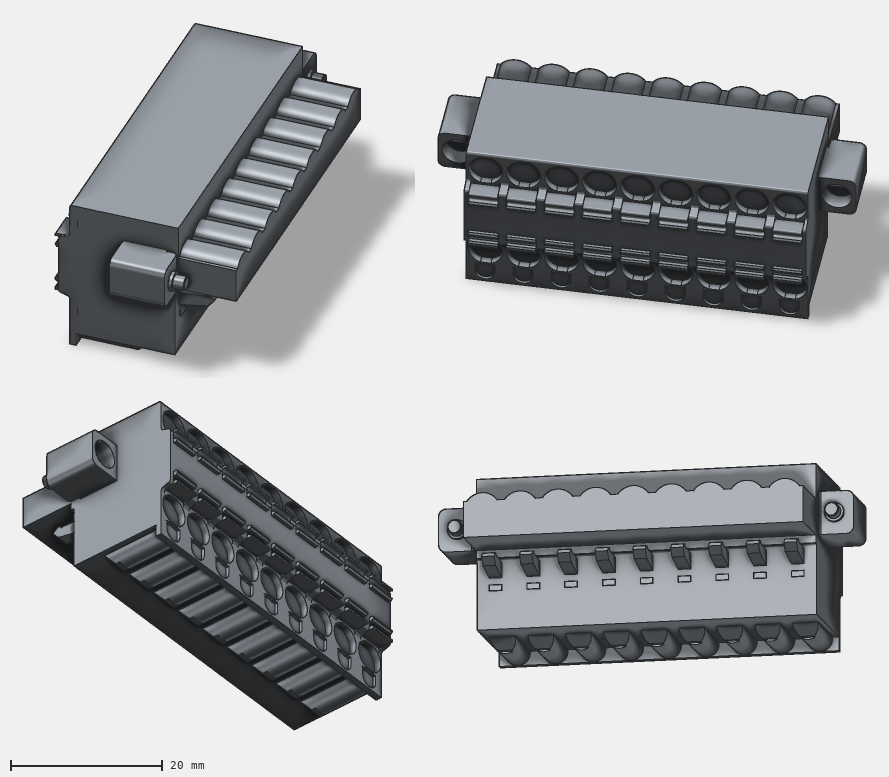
import cadquery as cq


POLES = 9
PITCH = 5.1
OVERALL_LENGTH = 55.9
BODY_LENGTH = 45.7
HALF_LENGTH = BODY_LENGTH / 2
POLE_POSITIONS = [(i - (POLES - 1) / 2) * PITCH for i in range(POLES)]

BODY_TOP = 22.1
BODY_BOTTOM = 1.85
UPPER_DEPTH = 15.3
LOWER_DEPTH = 14.8
BACK_STEP_Z = 11.4
BACK_STEP_FILLET = 0.3
LIP_THICKNESS = 0.9
TOP_FILLET = 0.4

BAND_Z = 12.35
BAND_HEIGHT = 1.55
BAND_HALF_ROOT = 4.85
BAND_HALF_CREST = 4.35
BAND_FILLET = 0.45

BUTTON_WIDTH = 3.9
BUTTON_HEIGHT = 2.25
BUTTON_OUTER = 4.45
BUTTON_INNER = 2.4
BUTTON_EDGE = 0.2
GROOVE_OUTER = 4.0
GROOVE_INNER = 2.95
GROOVE_FLOOR = 1.4
LOWER_GROOVE_OUTER = 3.9
LOWER_GROOVE_INNER = 3.1
LOWER_GROOVE_BEND_X = -1.55
LOWER_GROOVE_ROOT_X = -1.1
LOWER_GROOVE_BEND = 3.85
LOWER_GROOVE_ROOT = 3.25
POLE_SHIFT = -0.1

FUNNEL_RADIUS = 2.3
FUNNEL_HALF_HEIGHT = 2.2
FUNNEL_OFFSET_Z = 7.0
FUNNEL_DEPTH = 1.05
TEST_RADIUS = 1.35
TEST_CENTRE_Z = 1.7
TEST_TOP = 2.9
TEST_DEPTH = 0.45

RIB_RADIUS = 1.7
RIB_FLAT_END = 8.3
RIB_END = 10.35
RIB_NOSE = 0.3
RIB_NOSE_END = 9.0

SLEEVE_END = 23.45
SLEEVE_RADIUS = 2.5
SLEEVE_CENTRE_Z = 15.85
SLEEVE_BLOCK_TOP = 17.3
SLEEVE_BLOCK_BOTTOM = 12.45

HOOK_WIDTH = 1.7
HOOK_OUTLINE = [(0, 8.8), (4.1, 9.55), (5.0, 10.6), (4.25, 11.25), (3.75, 11.3), (3.65, 11.0), (0, 10.8)]
PAD_HEIGHT = 0.2
PAD_BOTTOM = 7.05
PAD_TOP = 7.8

FLANGE_FRONT = 7.55
FLANGE_BOTTOM = 12.45
FLANGE_TOP = 18.3
FLANGE_FILLET = 1.0
FLANGE_REACH = (OVERALL_LENGTH - BODY_LENGTH) / 2
RELIEF_WIDTH = 0.35
RELIEF_DEPTH = 1.55
RELIEF_CHAMFER = 0.35

SCREW_Y = HALF_LENGTH + 2.5
SCREW_Z = 15.35
HEAD_RADIUS = 2.0
HEAD_RECESS = 2.35
SLOT_WIDTH = 0.85
SLOT_DEPTH = 0.55
COLLAR_RADIUS = 1.3
COLLAR_LENGTH = 0.5
TIP_RADIUS = 0.95
TIP_END = 17.45
TIP_CHAMFER = 0.1


def box(x0, x1, y0, y1, z0, z1):
    """Box between two opposite corners."""
    return cq.Workplane("XY").box(x1 - x0, y1 - y0, z1 - z0, centered=False).translate((x0, y0, z0))


def rod(x0, x1, y, z, radius):
    """Cylinder along X."""
    return cq.Workplane("YZ", origin=(x0, y, z)).circle(radius).extrude(x1 - x0)


def across(profile, width, y=0):
    """Extrude a closed XZ profile evenly to both sides of y."""
    return profile.extrude(width / 2, both=True).translate((0, y, 0))


def mirrored_rows(upper):
    """The upper-row shape together with its mirror image in the lower row."""
    return upper.union(upper.mirror("XY", (0, 0, BAND_Z)))


def make_housing():
    outline = (
        cq.Workplane("XZ")
        .moveTo(0, 0)
        .lineTo(LIP_THICKNESS, 0)
        .lineTo(LIP_THICKNESS, BODY_BOTTOM)
        .lineTo(LOWER_DEPTH, BODY_BOTTOM)
        .lineTo(LOWER_DEPTH, BACK_STEP_Z - BACK_STEP_FILLET)
        .radiusArc((LOWER_DEPTH + BACK_STEP_FILLET, BACK_STEP_Z), BACK_STEP_FILLET)
        .lineTo(UPPER_DEPTH, BACK_STEP_Z)
        .lineTo(UPPER_DEPTH, BODY_TOP)
        .lineTo(0, BODY_TOP)
        .lineTo(0, BAND_Z + BAND_HALF_ROOT)
        .lineTo(-BAND_HEIGHT, BAND_Z + BAND_HALF_CREST)
        .lineTo(-BAND_HEIGHT, BAND_Z - BAND_HALF_CREST)
        .lineTo(0, BAND_Z - BAND_HALF_ROOT)
        .close()
    )
    housing = across(outline, BODY_LENGTH)
    for side in (-1, 1):
        for x, half_height in ((0, BAND_HALF_ROOT), (-BAND_HEIGHT, BAND_HALF_CREST)):
            edge = cq.selectors.NearestToPointSelector((x, 0, BAND_Z + side * half_height))
            housing = housing.edges("|Y").edges(edge).fillet(BAND_FILLET)
    return housing.edges("|Y").edges(">Z").edges("<X").fillet(TOP_FILLET)


def make_upper_button(y):
    """Upper-row button with a round finger groove along its face."""
    outline = (
        cq.Workplane("XZ", origin=(0, 0, BAND_Z))
        .moveTo(0, BUTTON_OUTER)
        .lineTo(-BUTTON_HEIGHT + BUTTON_EDGE, BUTTON_OUTER)
        .radiusArc((-BUTTON_HEIGHT, BUTTON_OUTER - BUTTON_EDGE), -BUTTON_EDGE)
        .lineTo(-BUTTON_HEIGHT, GROOVE_OUTER)
        .threePointArc(
            (-GROOVE_FLOOR, (GROOVE_OUTER + GROOVE_INNER) / 2),
            (-BUTTON_HEIGHT + BUTTON_EDGE, GROOVE_INNER),
        )
        .lineTo(-BUTTON_HEIGHT, GROOVE_INNER - BUTTON_EDGE)
        .lineTo(-BUTTON_HEIGHT + BUTTON_EDGE, BUTTON_INNER)
        .lineTo(0, BUTTON_INNER)
        .close()
    )
    return across(outline, BUTTON_WIDTH, y + POLE_SHIFT)


def make_lower_button(y):
    """Lower-row button with an undercut groove along its face."""
    tip = -BUTTON_HEIGHT
    bevel = tip + BUTTON_EDGE
    outline = [
        (0, -BUTTON_OUTER),
        (tip, -BUTTON_OUTER),
        (tip, -LOWER_GROOVE_OUTER - BUTTON_EDGE),
        (bevel, -LOWER_GROOVE_OUTER),
        (LOWER_GROOVE_BEND_X, -LOWER_GROOVE_BEND),
        (LOWER_GROOVE_ROOT_X, -LOWER_GROOVE_ROOT),
        (bevel, -LOWER_GROOVE_INNER),
        (tip, -LOWER_GROOVE_INNER + BUTTON_EDGE),
        (tip, -BUTTON_INNER - BUTTON_EDGE),
        (bevel, -BUTTON_INNER),
        (0, -BUTTON_INNER),
    ]
    profile = cq.Workplane("XZ", origin=(0, 0, BAND_Z)).polyline(outline).close()
    return across(profile, BUTTON_WIDTH, y + POLE_SHIFT)


def make_button_clearance(y):
    """Everything of the raised band within the width of an upper-row button."""
    y_centre = y + POLE_SHIFT
    band_edge = BAND_Z + BAND_HALF_ROOT + BAND_FILLET
    return box(
        -BUTTON_HEIGHT, 0,
        y_centre - BUTTON_WIDTH / 2, y_centre + BUTTON_WIDTH / 2,
        BAND_Z + BUTTON_INNER, band_edge,
    )


def make_funnel(y):
    """Upper-row wire funnel: a round recess with flats above and below."""
    z = BAND_Z + FUNNEL_OFFSET_Z
    y_centre = y + POLE_SHIFT
    flats = box(
        0, FUNNEL_DEPTH,
        y_centre - FUNNEL_RADIUS, y_centre + FUNNEL_RADIUS,
        z - FUNNEL_HALF_HEIGHT, z + FUNNEL_HALF_HEIGHT,
    )
    return rod(0, FUNNEL_DEPTH, y_centre, z, FUNNEL_RADIUS).intersect(flats)


def make_test_opening(y):
    """Recess with a straight top and a half-round bottom."""
    straight = box(0, TEST_DEPTH, y - TEST_RADIUS, y + TEST_RADIUS, TEST_CENTRE_Z, TEST_TOP)
    return rod(0, TEST_DEPTH, y, TEST_CENTRE_Z, TEST_RADIUS).union(straight)


def make_rib(y):
    """Half-round rib under the housing with a sloping end."""
    side = (
        cq.Workplane("XZ")
        .moveTo(LIP_THICKNESS, 0)
        .lineTo(RIB_FLAT_END, 0)
        .lineTo(RIB_FLAT_END, RIB_NOSE)
        .lineTo(RIB_NOSE_END, RIB_NOSE)
        .lineTo(RIB_END, BODY_BOTTOM)
        .lineTo(LIP_THICKNESS, BODY_BOTTOM)
        .close()
    )
    round_bar = rod(LIP_THICKNESS, RIB_END, y, RIB_RADIUS, RIB_RADIUS)
    shoulder = box(LIP_THICKNESS, RIB_END, y - RIB_RADIUS, y + RIB_RADIUS, RIB_RADIUS, BODY_BOTTOM)
    return round_bar.union(shoulder).intersect(across(side, 2 * RIB_RADIUS, y))


def make_sleeves():
    sleeves = box(
        LOWER_DEPTH, SLEEVE_END, -HALF_LENGTH, HALF_LENGTH, SLEEVE_BLOCK_BOTTOM, SLEEVE_BLOCK_TOP
    )
    for y in POLE_POSITIONS:
        half_round = rod(LOWER_DEPTH, SLEEVE_END, y, SLEEVE_CENTRE_Z, SLEEVE_RADIUS).intersect(
            box(LOWER_DEPTH, SLEEVE_END, -HALF_LENGTH, HALF_LENGTH, SLEEVE_CENTRE_Z, BODY_TOP)
        )
        sleeves = sleeves.union(half_round)
    return sleeves


def make_hook(y):
    """Latch hook with the stop pad below it."""
    outline = [(LOWER_DEPTH + x, z) for x, z in HOOK_OUTLINE]
    hook = across(cq.Workplane("XZ").polyline(outline).close(), HOOK_WIDTH, y)
    half_width = HOOK_WIDTH / 2
    pad = box(
        LOWER_DEPTH, LOWER_DEPTH + PAD_HEIGHT, y - half_width, y + half_width, PAD_BOTTOM, PAD_TOP
    )
    return hook.union(pad)


def make_flange():
    """Flange at the +Y end with its screw."""
    flange = box(
        FLANGE_FRONT, UPPER_DEPTH,
        HALF_LENGTH, HALF_LENGTH + FLANGE_REACH,
        FLANGE_BOTTOM, FLANGE_TOP,
    )
    flange = flange.edges("|X and >Y").fillet(FLANGE_FILLET)
    relief = box(
        UPPER_DEPTH - RELIEF_DEPTH, UPPER_DEPTH,
        HALF_LENGTH, HALF_LENGTH + RELIEF_WIDTH,
        FLANGE_BOTTOM, FLANGE_TOP,
    )
    flange = flange.cut(relief).edges("|Z").edges(">X").edges("<Y").chamfer(RELIEF_CHAMFER)

    head_x = FLANGE_FRONT + HEAD_RECESS
    slot = box(
        head_x, head_x + SLOT_DEPTH,
        SCREW_Y - HEAD_RADIUS, SCREW_Y + HEAD_RADIUS,
        SCREW_Z - SLOT_WIDTH / 2, SCREW_Z + SLOT_WIDTH / 2,
    )
    collar = rod(UPPER_DEPTH, UPPER_DEPTH + COLLAR_LENGTH, SCREW_Y, SCREW_Z, COLLAR_RADIUS)
    tip = rod(UPPER_DEPTH, TIP_END, SCREW_Y, SCREW_Z, TIP_RADIUS).faces(">X").chamfer(TIP_CHAMFER)
    flange = flange.cut(rod(FLANGE_FRONT, head_x, SCREW_Y, SCREW_Z, HEAD_RADIUS)).cut(slot)
    return flange.union(collar).union(tip)


result = make_housing()
for pole_y in POLE_POSITIONS:
    result = result.cut(mirrored_rows(make_button_clearance(pole_y)))
    result = result.union(make_upper_button(pole_y)).union(make_lower_button(pole_y))
    result = result.cut(mirrored_rows(make_funnel(pole_y)))
    result = result.cut(make_test_opening(pole_y))
    result = result.union(make_rib(pole_y)).union(make_hook(pole_y))

result = result.union(make_sleeves())
flange_part = make_flange()
result = result.union(flange_part).union(flange_part.mirror("XZ"))